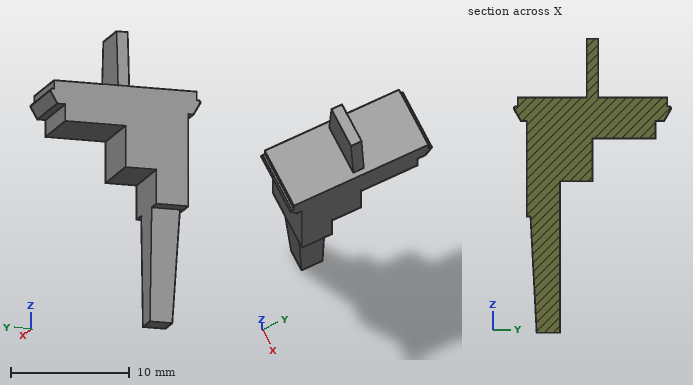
import cadquery as cq

total_height = 24.8
body_width = 5.6
head_top = 19.85
blade_thickness = 1.0
blade_base_width = 4.61
blade_tip_width = 3.75

head_half_depth = 6.3
lip_half_depth = 6.65
lip_shoulder_half_depth = 6.5
lip_base_half_depth = 6.03
lip_top = head_top - 0.75
lip_edge = lip_top - 0.17
lip_bottom = head_top - 2.0

body_front = -5.55
body_back = 5.3
upper_step_bottom = 16.37
middle_step_back = 0.0
middle_step_bottom = 12.77
lower_step_back = -2.73
body_bottom = 9.8

prong_base_width = 2.98
prong_tip_width = 2.0
prong_base_depth = 2.5
prong_tip_depth = 1.98


def extrude_across_width(points):
    """Extrude a YZ outline over the full body width, centred on X."""
    return cq.Workplane("YZ").polyline(points).close().extrude(body_width / 2, both=True)


def make_head():
    back_edge = [
        (head_half_depth, head_top),
        (head_half_depth, lip_top),
        (lip_shoulder_half_depth, lip_top),
        (lip_half_depth, lip_edge),
        (lip_base_half_depth, lip_bottom),
    ]
    front_edge = [(-y, z) for y, z in reversed(back_edge)]
    return extrude_across_width(back_edge + front_edge)


def make_stepped_body():
    return extrude_across_width([
        (body_front, head_top),
        (body_back, head_top),
        (body_back, upper_step_bottom),
        (middle_step_back, upper_step_bottom),
        (middle_step_back, middle_step_bottom),
        (lower_step_back, middle_step_bottom),
        (lower_step_back, body_bottom),
        (body_front, body_bottom),
    ])


def make_blade():
    return (
        cq.Workplane("XZ")
        .polyline([
            (-blade_base_width / 2, head_top),
            (blade_base_width / 2, head_top),
            (blade_tip_width / 2, total_height),
            (-blade_tip_width / 2, total_height),
        ])
        .close()
        .extrude(blade_thickness / 2, both=True)
    )


def make_prong():
    """Loft from the tip at Z = 0 up to the underside of the body."""
    return (
        cq.Workplane("XY")
        .center(0, lower_step_back - prong_tip_depth / 2)
        .rect(prong_tip_width, prong_tip_depth)
        .workplane(offset=body_bottom)
        .center(0, (prong_tip_depth - prong_base_depth) / 2)
        .rect(prong_base_width, prong_base_depth)
        .loft(ruled=True)
    )


result = make_head().union(make_stepped_body()).union(make_blade()).union(make_prong())